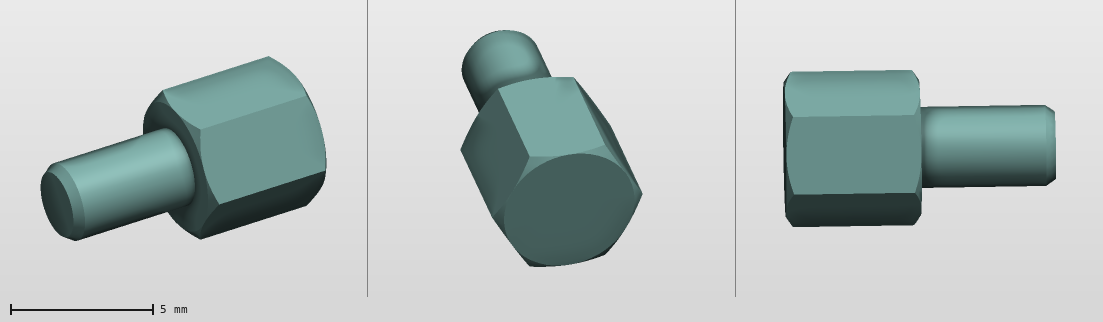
import cadquery as cq
import math

across_flats = 4.75
across_corners = across_flats / math.cos(math.radians(30))
body_length = 4.75
corner_chamfer_length = 0.25

stud_diameter = 2.85
stud_tip_diameter = 2.39
stud_length = 4.75
tip_chamfer_length = 0.34


def revolve_about_y(profile):
    """Revolve a closed (radius, y) profile one full turn about the Y axis."""
    return cq.Workplane("XY").polyline(profile).close().revolve(360, (0, 0), (0, 1))


def make_body():
    """Hexagonal prism from y = 0 to y = body_length, with both ends turned to cones at the corners."""
    prism = cq.Workplane("XZ").polygon(6, across_corners).extrude(-body_length)
    face_radius = across_flats / 2
    corner_radius = across_corners / 2
    turned_envelope = revolve_about_y([
        (0, 0),
        (face_radius, 0),
        (corner_radius, corner_chamfer_length),
        (corner_radius, body_length - corner_chamfer_length),
        (face_radius, body_length),
        (0, body_length),
    ])
    return prism.intersect(turned_envelope)


def make_stud():
    """Round stud from the body face at y = 0 to its chamfered tip."""
    stud_radius = stud_diameter / 2
    return revolve_about_y([
        (0, 0),
        (stud_radius, 0),
        (stud_radius, tip_chamfer_length - stud_length),
        (stud_tip_diameter / 2, -stud_length),
        (0, -stud_length),
    ])


result = make_body().union(make_stud())